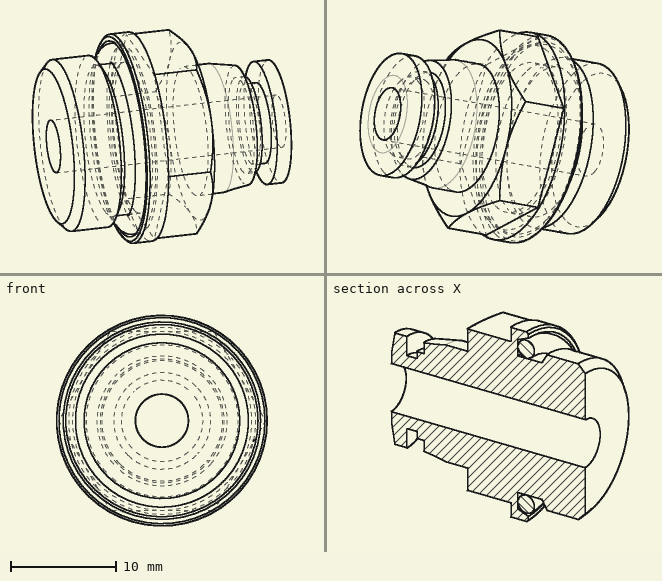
import cadquery as cq
import math

LENGTH = 22.2
BORE_RADIUS = 2.5

THREAD_RADIUS = 8.21
THREAD_CHAMFER = 0.82
THREAD_BACK = 4.4
NECK_RADIUS = 7.22
NECK_START = 5.0

FLANGE_DIAMETER = 20.0
FLANGE_RADIUS = FLANGE_DIAMETER / 2
FLANGE_CHAMFER = 0.22
FLANGE_FRONT = 6.5
FLANGE_BACK = 8.55

HEX_FLATS = 17.0
HEX_SIDES = 6
HEX_BACK = 13.5
HEX_CHAMFER_ANGLE = 30.0

SHOULDER_RADIUS = 6.17
TAPER_START = 15.98
TAPER_END = 18.5
TAPER_END_RADIUS = 5.73

COLLAR_RADIUS = 4.6
COLLAR_END = 19.3
WAIST_RADIUS = 3.86
BUTTON_START = 20.4
BUTTON_RADIUS = 5.88
BUTTON_RIM_END = 21.82
BUTTON_FACE_RADIUS = 3.73

RING_SECTION_RADIUS = 0.95
RING_PROTRUSION = 0.69
RING_CENTER_RADIUS = NECK_RADIUS + RING_SECTION_RADIUS
RING_STATION = FLANGE_FRONT - RING_PROTRUSION + RING_SECTION_RADIUS
GROOVE_FLOOR = RING_STATION + RING_SECTION_RADIUS
GROOVE_MOUTH_RADIUS = 9.37
GROOVE_FLOOR_RADIUS = 8.88


def revolve_about_y(profile):
    """Turn a closed (radius, station) outline a full turn about the Y axis."""
    return profile.revolve(360, (0, 0, 0), (0, 1, 0))


def make_turned_blank():
    """Every round step of the fitting, including the seal groove and the bore."""
    outline = [
        (BORE_RADIUS, 0),
        (THREAD_RADIUS - THREAD_CHAMFER, 0),
        (THREAD_RADIUS, THREAD_CHAMFER),
        (THREAD_RADIUS, THREAD_BACK),
        (NECK_RADIUS, NECK_START),
        (NECK_RADIUS, GROOVE_FLOOR),
        (GROOVE_FLOOR_RADIUS, GROOVE_FLOOR),
        (GROOVE_MOUTH_RADIUS, FLANGE_FRONT),
        (FLANGE_RADIUS - FLANGE_CHAMFER, FLANGE_FRONT),
        (FLANGE_RADIUS, FLANGE_FRONT + FLANGE_CHAMFER),
        (FLANGE_RADIUS, FLANGE_BACK),
        (SHOULDER_RADIUS, FLANGE_BACK),
        (SHOULDER_RADIUS, TAPER_START),
        (TAPER_END_RADIUS, TAPER_END),
        (COLLAR_RADIUS, TAPER_END),
        (COLLAR_RADIUS, COLLAR_END),
        (WAIST_RADIUS, COLLAR_END),
        (WAIST_RADIUS, BUTTON_START),
        (BUTTON_RADIUS, BUTTON_START),
        (BUTTON_RADIUS, BUTTON_RIM_END),
        (BUTTON_FACE_RADIUS, LENGTH),
        (BORE_RADIUS, LENGTH),
    ]
    return revolve_about_y(cq.Workplane("XY").polyline(outline).close())


def make_hexagon():
    """Wrench hexagon with corners along X and its back corners cut by a cone."""
    prism = (
        cq.Workplane("XZ", origin=(0, FLANGE_BACK, 0))
        .polygon(HEX_SIDES, HEX_FLATS / math.cos(math.pi / HEX_SIDES))
        .circle(BORE_RADIUS)
        .extrude(FLANGE_BACK - HEX_BACK)
    )
    cone_face_radius = HEX_FLATS / 2
    cone_rise = (FLANGE_RADIUS - cone_face_radius) * math.tan(math.radians(HEX_CHAMFER_ANGLE))
    envelope = revolve_about_y(
        cq.Workplane("XY")
        .polyline([
            (0, FLANGE_BACK),
            (FLANGE_RADIUS, FLANGE_BACK),
            (FLANGE_RADIUS, HEX_BACK - cone_rise),
            (cone_face_radius, HEX_BACK),
            (0, HEX_BACK),
        ])
        .close()
    )
    return prism.intersect(envelope)


def make_fitting():
    return make_turned_blank().union(make_hexagon())


def make_seal_ring():
    section = cq.Workplane("XY").center(RING_CENTER_RADIUS, RING_STATION).circle(RING_SECTION_RADIUS)
    return section.revolve(360, (-RING_CENTER_RADIUS, 0, 0), (-RING_CENTER_RADIUS, 1, 0))


fitting = make_fitting()
seal_ring = make_seal_ring()

result = cq.Compound.makeCompound([fitting.solids().val(), seal_ring.val()])